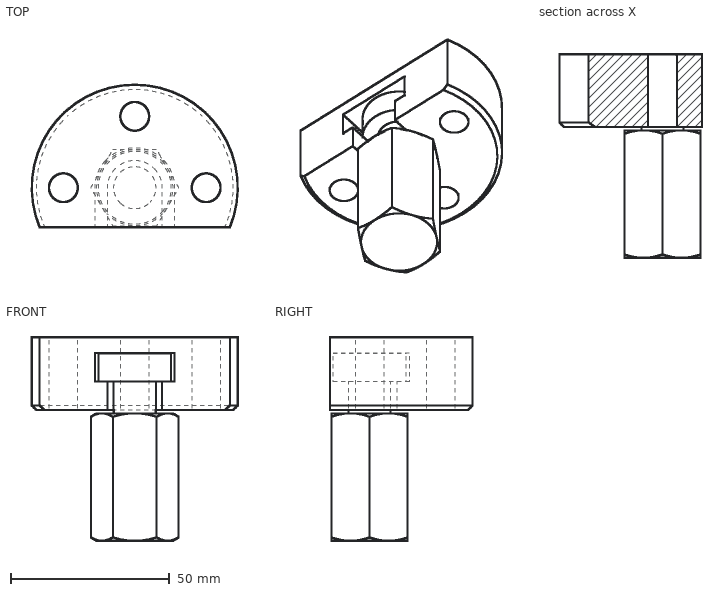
import cadquery as cq
import math

plate_radius = 32.5
plate_flat_y = -12.5
plate_height = 23.0
plate_chamfer = 1.5

hole_diameter = 9.0
hole_circle_radius = 22.5
hole_angles = (0, 90, 180)

slot_ceiling_z = 18.0
slot_ledge_z = 9.0
slot_head_width = 25.2
slot_neck_width = 17.2

head_diameter = 23.0
head_height = 8.8
neck_diameter = 13.3
hex_across_flats = 24.0
hex_top_z = -1.0
hex_length = 40.2
hex_chamfer_angle = 30.0


def slot_cut(width, bottom_z, top_z):
    """Cutter of one slot step: straight from the flat, round at the disc axis."""
    half_width = width / 2
    return (
        cq.Workplane("XY", origin=(0, 0, bottom_z))
        .moveTo(-half_width, plate_flat_y)
        .lineTo(half_width, plate_flat_y)
        .lineTo(half_width, 0)
        .threePointArc((0, half_width), (-half_width, 0))
        .close()
        .extrude(top_z - bottom_z)
    )


def make_plate():
    disc = (
        cq.Workplane("XY")
        .circle(plate_radius)
        .extrude(plate_height)
        .faces("<Z")
        .chamfer(plate_chamfer)
    )
    kept_depth = plate_radius - plate_flat_y
    kept_region = (
        cq.Workplane("XY", origin=(0, plate_flat_y + kept_depth / 2, 0))
        .rect(2 * plate_radius, kept_depth)
        .extrude(plate_height)
    )
    plate = disc.intersect(kept_region)

    for angle in hole_angles:
        x = hole_circle_radius * math.cos(math.radians(angle))
        y = hole_circle_radius * math.sin(math.radians(angle))
        hole = cq.Workplane("XY").center(x, y).circle(hole_diameter / 2).extrude(plate_height)
        plate = plate.cut(hole)

    plate = plate.cut(slot_cut(slot_head_width, slot_ledge_z, slot_ceiling_z))
    return plate.cut(slot_cut(slot_neck_width, 0, slot_ledge_z))


def make_hex_body():
    """Hexagon with two flats facing -Y and +Y, its corners turned off conically at both ends."""
    flat_radius = hex_across_flats / 2
    corner_radius = flat_radius / math.cos(math.radians(30))
    chamfer_width = corner_radius - flat_radius
    chamfer_height = chamfer_width * math.tan(math.radians(hex_chamfer_angle))
    bottom_z = hex_top_z - hex_length

    prism = (
        cq.Workplane("XY", origin=(0, 0, bottom_z))
        .polygon(6, 2 * corner_radius)
        .extrude(hex_length)
    )
    turned_envelope = (
        cq.Workplane("XY", origin=(0, 0, bottom_z))
        .circle(corner_radius)
        .extrude(hex_length)
        .faces("<Z or >Z")
        .edges()
        .chamfer(chamfer_height, chamfer_width)
    )
    return prism.intersect(turned_envelope)


def make_stud():
    neck = (
        cq.Workplane("XY", origin=(0, 0, hex_top_z))
        .circle(neck_diameter / 2)
        .extrude(slot_ledge_z - hex_top_z)
    )
    head = (
        cq.Workplane("XY", origin=(0, 0, slot_ledge_z))
        .circle(head_diameter / 2)
        .extrude(head_height)
    )
    return make_hex_body().union(neck).union(head)


plate = make_plate()
stud = make_stud()

result = cq.Compound.makeCompound([plate.val(), stud.val()])